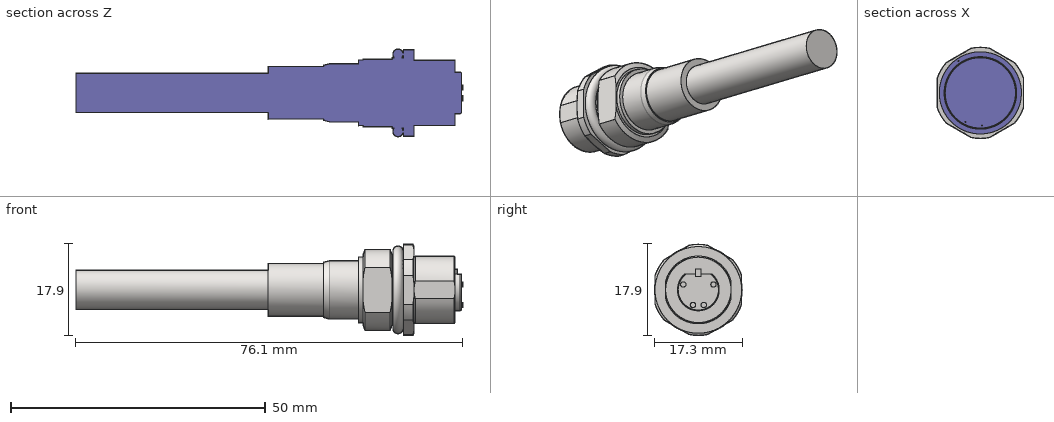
import cadquery as cq
import math

cable_start_x = 0.0
sleeve_start_x = 37.8
taper_start_x = 48.7
taper_end_x = 49.85
collar_start_x = 55.55
nut_start_x = 56.5
nut_end_x = 62.2
o_ring_start_x = 62.3
flange_start_x = 64.4
flange_end_x = 66.5
socket_end_x = 74.6
insert_end_x = 75.9
contact_tip_x = 76.1

cable_diameter = 7.8
sleeve_diameter = 10.4
taper_small_diameter = 10.9
rear_body_diameter = 11.5
collar_diameter = 13.0
nut_diameter = 16.0
o_ring_diameter = 17.3
flange_diameter = 17.95
socket_diameter = 13.3
insert_diameter = 8.2
contact_diameter = 1.1

nut_width = 13.3
nut_end_diameter = 13.9
nut_bevel_length = 0.4
flange_width = 17.05
flange_bevel_length = 0.2
socket_width = 12.85
socket_bevel_length = 0.2
insert_bevel_length = 0.3
insert_bevel_depth = 0.15

insert_flat_z = 3.1
key_width = 1.15
key_length = 0.45
slot_depth = 0.5

contact_near_offset = 1.1
contact_far_offset = 3.0


def cylinder(start_x, end_x, diameter):
    """Round bar on the X axis."""
    return cq.Workplane("YZ", origin=(start_x, 0, 0)).circle(diameter / 2).extrude(end_x - start_x)


def turned(points):
    """Solid of revolution about the X axis from (x, radius) points."""
    closed = [(points[0][0], 0)] + points + [(points[-1][0], 0)]
    return cq.Workplane("XY").polyline(closed).close().revolve(360, (0, 0, 0), (1, 0, 0))


def bevelled(start_x, end_x, diameter, end_diameter, start_bevel, end_bevel):
    """Round bar on the X axis narrowing to end_diameter over the bevel lengths."""
    points = [(start_x + start_bevel, diameter / 2), (end_x - end_bevel, diameter / 2)]
    if start_bevel > 0:
        points.insert(0, (start_x, end_diameter / 2))
    if end_bevel > 0:
        points.append((end_x, end_diameter / 2))
    return turned(points)


def two_flats(body, width):
    """Keep the part of a body between two flats facing -Y and +Y."""
    box = body.val().BoundingBox()
    slab = cq.Workplane("XY").box(box.xlen, width, box.zlen).translate(box.center)
    return body.intersect(slab)


def make_rear():
    """Cable, sleeve, tapered step, rear body and collar."""
    return turned([
        (cable_start_x, cable_diameter / 2),
        (sleeve_start_x, cable_diameter / 2),
        (sleeve_start_x, sleeve_diameter / 2),
        (taper_start_x, sleeve_diameter / 2),
        (taper_start_x, taper_small_diameter / 2),
        (taper_end_x, rear_body_diameter / 2),
        (collar_start_x, rear_body_diameter / 2),
        (collar_start_x, collar_diameter / 2),
        (nut_start_x, collar_diameter / 2),
    ])


def make_nut():
    """Round nut with two wrench flats and bevelled ends."""
    blank = bevelled(
        nut_start_x, nut_end_x, nut_diameter, nut_end_diameter, nut_bevel_length, nut_bevel_length
    )
    return two_flats(blank, nut_width)


def make_o_ring_seat():
    """Round core that carries the O-ring between the nut and the flange."""
    return cylinder(nut_end_x, flange_start_x, nut_end_diameter)


def make_o_ring():
    """Seal lying on its seat against the rear face of the flange."""
    tube_radius = (flange_start_x - o_ring_start_x) / 2
    tube_x = o_ring_start_x + tube_radius
    tube_z = o_ring_diameter / 2 - tube_radius
    profile = cq.Workplane("XZ").center(tube_x, tube_z).circle(tube_radius)
    return profile.revolve(360, (0, -tube_z, 0), (1, -tube_z, 0))


def make_flange():
    """Hexagonal flange with rounded corners pointing to +Z and -Z."""
    blank = bevelled(flange_start_x, flange_end_x, flange_diameter, flange_width, 0, flange_bevel_length)
    across_corners = flange_width / math.cos(math.radians(30))
    hexagon = (
        cq.Workplane("YZ", origin=(flange_start_x, 0, 0))
        .transformed(rotate=(0, 0, 90))
        .polygon(6, across_corners)
        .extrude(flange_end_x - flange_start_x)
    )
    return blank.intersect(hexagon)


def make_socket():
    """Front sleeve with two flats and bevelled ends."""
    blank = bevelled(
        flange_end_x, socket_end_x, socket_diameter, socket_width, socket_bevel_length, socket_bevel_length
    )
    return two_flats(blank, socket_width)


def make_insert():
    """Contact carrier with a top flat, a key at its root and a slot ahead of the key."""
    end_diameter = insert_diameter - 2 * insert_bevel_depth
    blank = bevelled(socket_end_x, insert_end_x, insert_diameter, end_diameter, 0, insert_bevel_length)
    length = insert_end_x - socket_end_x
    on_root = (False, True, False)
    above_flat = (
        cq.Workplane("XY", origin=(socket_end_x, 0, insert_flat_z))
        .box(length, insert_diameter, insert_diameter, centered=on_root)
    )
    key_space = (
        cq.Workplane("XY", origin=(socket_end_x, 0, insert_flat_z))
        .box(key_length, key_width, insert_diameter, centered=on_root)
    )
    slot = (
        cq.Workplane("XY", origin=(socket_end_x + key_length, 0, insert_flat_z - slot_depth))
        .box(length - key_length, key_width, slot_depth, centered=on_root)
    )
    return blank.cut(above_flat.cut(key_space)).cut(slot)


def make_contacts():
    """Four contact tips standing out of the insert face."""
    centres = []
    for side in (-1, 1):
        centres.append((side * contact_far_offset, contact_near_offset))
        centres.append((side * contact_near_offset, -contact_far_offset))
    return (
        cq.Workplane("YZ", origin=(socket_end_x, 0, 0))
        .pushPoints(centres)
        .circle(contact_diameter / 2)
        .extrude(contact_tip_x - socket_end_x)
    )


features = (
    make_nut(),
    make_o_ring_seat(),
    make_o_ring(),
    make_flange(),
    make_socket(),
    make_insert(),
    make_contacts(),
)
result = make_rear()
for feature in features:
    result = result.union(feature)